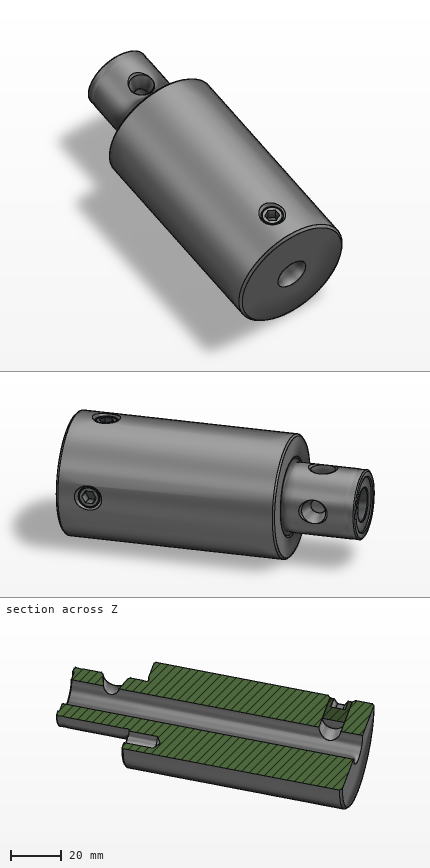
import cadquery as cq
import math

length = 120.0
barrel_radius = 50.0 / 2
bore_radius = 13.5 / 2
flange_x = 29.8
front_chamfer = 0.7
rear_chamfer = 1.0

spigot_radius = 28.0 / 2
nose_chamfer = 0.5
nose_face_radius = 26.6 / 2
groove_radius = 27.6 / 2
groove_start_x = 1.0
groove_bottom_x = 2.6
groove_end_x = 4.1

relief_start_x = 28.2
relief_radius = 27.6 / 2
relief_taper = 0.7
relief_depth = 0.4
relief_corner = 0.7
relief_floor_radius = 31.0 / 2
relief_rim_radius = 32.4 / 2

recess_floor_radius = 22.3 / 2
recess_rim_radius = 22.8 / 2
recess_depth = 0.6
bore_chamfer = 0.4

seat_x = 17.0
seat_radius = 10.0 / 2
seat_tip_radius = 6.1 / 2
seat_rim_radius = 5.9

locating_y = -18.1
locating_diameter = 6.5
locating_depth = 12.0
drill_point_angle = 118.0

radial_angles = (0, -90)

screw_x = 106.5
screw_radius = 8.9 / 2
screw_rim_radius = 5.6
screw_top_z = barrel_radius - (screw_rim_radius - screw_radius)
screw_length = 12.0
screw_chamfer = 0.5
socket_sides = 6
socket_flats = 5.0
socket_depth = 4.8
socket_half_angle = 180.0 / socket_sides


def upright_revolve(profile, x):
    """Revolve (radius, z) points about the vertical line at the given x."""
    turned = cq.Workplane("XZ").polyline(profile).close().revolve(360, (0, 0), (0, 1))
    return turned.translate((x, 0, 0))


def make_blank():
    """Turned spigot and barrel, including the groove and the root relief."""
    relief_floor_x = flange_x + relief_depth
    return (
        cq.Workplane("XY")
        .moveTo(0, 0)
        .lineTo(0, nose_face_radius)
        .lineTo(nose_chamfer, spigot_radius)
        .lineTo(groove_start_x, spigot_radius)
        .lineTo(groove_bottom_x, groove_radius)
        .lineTo(groove_end_x, spigot_radius)
        .lineTo(relief_start_x, spigot_radius)
        .lineTo(relief_start_x + relief_taper, relief_radius)
        .lineTo(relief_floor_x - relief_corner, relief_radius)
        .radiusArc((relief_floor_x, relief_radius + relief_corner), -relief_corner)
        .lineTo(relief_floor_x, relief_floor_radius)
        .lineTo(flange_x, relief_rim_radius)
        .lineTo(flange_x, barrel_radius - front_chamfer)
        .lineTo(flange_x + front_chamfer, barrel_radius)
        .lineTo(length - rear_chamfer, barrel_radius)
        .lineTo(length, barrel_radius - rear_chamfer)
        .lineTo(length, 0)
        .close()
        .revolve(360, (0, 0), (1, 0))
    )


def axial_bore():
    """Through bore with the nose recess and the chamfer at its mouth."""
    return (
        cq.Workplane("XY")
        .moveTo(0, 0)
        .lineTo(0, recess_rim_radius)
        .lineTo(recess_depth, recess_floor_radius)
        .lineTo(recess_depth, bore_radius + bore_chamfer)
        .lineTo(recess_depth + bore_chamfer, bore_radius)
        .lineTo(length, bore_radius)
        .lineTo(length, 0)
        .close()
        .revolve(360, (0, 0), (1, 0))
    )


def turn_about_axis(shape, angle):
    return shape.rotate((0, 0, 0), (1, 0, 0), angle)


def conical_seat():
    """Radial hole that tapers inward from a 45 degree rim to the bore."""
    rim_bottom_z = spigot_radius - (seat_rim_radius - seat_radius)
    profile = [
        (0, 0),
        (seat_tip_radius, 0),
        (seat_tip_radius, bore_radius),
        (seat_radius, rim_bottom_z),
        (seat_rim_radius, spigot_radius),
        (0, spigot_radius),
    ]
    return upright_revolve(profile, seat_x)


def locating_hole():
    """Drilled hole with a conical bottom."""
    radius = locating_diameter / 2
    point_depth = radius / math.tan(math.radians(drill_point_angle / 2))
    end_x = flange_x + locating_depth
    profile = [(flange_x, 0), (flange_x, radius), (end_x, radius), (end_x + point_depth, 0)]
    drill = cq.Workplane("XY").polyline(profile).close().revolve(360, (0, 0), (1, 0))
    return drill.translate((0, locating_y, 0))


def screw_hole():
    """Radial hole from the barrel to the bore, with a 45 degree countersink."""
    profile = [
        (0, 0),
        (screw_radius, 0),
        (screw_radius, screw_top_z),
        (screw_rim_radius, barrel_radius),
        (0, barrel_radius),
    ]
    return upright_revolve(profile, screw_x)


def make_housing():
    housing = make_blank().cut(axial_bore()).cut(locating_hole())
    for angle in radial_angles:
        housing = housing.cut(turn_about_axis(conical_seat(), angle))
        housing = housing.cut(turn_about_axis(screw_hole(), angle))
    return housing


def make_set_screw():
    """Headless screw with a hexagon socket and two corners along the barrel."""
    blank = (
        cq.Workplane("XY")
        .workplane(offset=screw_top_z)
        .center(screw_x, 0)
        .circle(screw_radius)
        .extrude(-screw_length)
        .faces(">Z")
        .chamfer(screw_chamfer)
    )
    socket = (
        cq.Workplane("XY")
        .workplane(offset=screw_top_z)
        .center(screw_x, 0)
        .polygon(socket_sides, socket_flats / math.cos(math.radians(socket_half_angle)))
        .extrude(-socket_depth)
    )
    return blank.cut(socket)


housing = make_housing()
set_screws = [turn_about_axis(make_set_screw(), angle) for angle in radial_angles]
result = cq.Compound.makeCompound([housing.val(), *[screw.val() for screw in set_screws]])